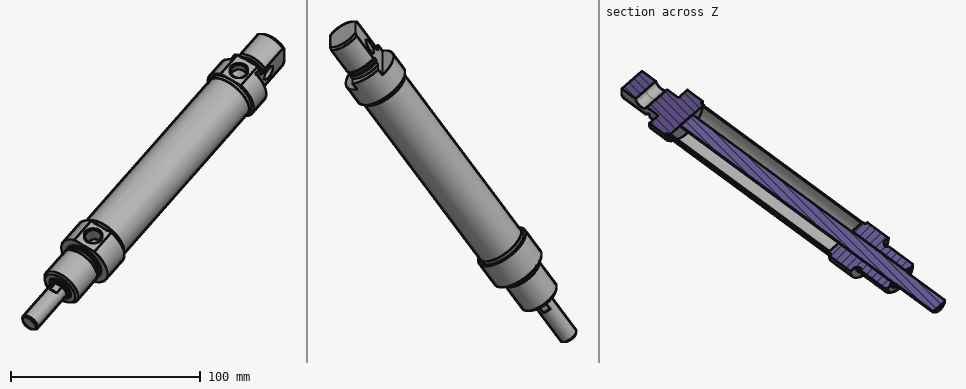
import cadquery as cq
import math


cap_diameter = 30.0
cap_length = 15.3
shoulder_distance = 148.0
collar_diameter = 27.0
collar_length = 2.0
port_flat_height = collar_diameter / 2

thread_diameter = 22.0
thread_length = 22.0
thread_root_diameter = 19.7
thread_chamfer = (thread_diameter - thread_root_diameter) / 2
front_land_length = 1.3
front_groove_end = 3.1
front_groove_taper = 0.6
rear_land_length = 1.9
rear_groove_end = 3.5
rear_groove_taper = thread_chamfer

port_diameter = 8.57
port_mouth_diameter = 9.9
port_shoulder_offset = 8.0
rear_port_depth = 5.0
drill_tip_angle = 118.0

eye_width = 16.0
eye_hole_diameter = 8.0
eye_hole_offset = 8.0
eye_flat_start = 144.0

tube_outer_diameter = 26.5
tube_bore = 25.0

rod_diameter = 10.0
rod_stickout = 50.0
rod_tip_diameter = 8.57
rod_tip_chamfer = (rod_diameter - rod_tip_diameter) / 2
wrench_width = 9.0
wrench_flat_end = 28.2

wiper_diameter = 14.0
wiper_hub_diameter = 11.1
wiper_lip_diameter = 10.5
wiper_recess_depth = 0.8
wiper_lip_protrusion = 1.2
wiper_lip_end = thread_length + wiper_lip_protrusion

tube_start = cap_length + collar_length
tube_end = shoulder_distance - tube_start


def cylinder(diameter, start, end):
    """Solid cylinder on the Y axis between two Y positions."""
    return cq.Workplane("XZ", origin=(0, start, 0)).circle(diameter / 2).extrude(start - end)


def revolve_about_y(points):
    """Solid of revolution from (radius, y) points; the profile closes itself."""
    return cq.Workplane("XY").polyline(points).close().revolve(360, (0, 0, 0), (0, 1, 0))


def threaded_cap(land_length, groove_end, groove_taper):
    """Front-facing cap: flange, tube collar and grooved thread, with the port flat on top."""
    thread_radius = thread_diameter / 2
    root_radius = thread_root_diameter / 2
    cap = revolve_about_y(
        [
            (0, tube_start),
            (collar_diameter / 2, tube_start),
            (collar_diameter / 2, cap_length),
            (cap_diameter / 2, cap_length),
            (cap_diameter / 2, 0),
            (thread_radius, 0),
            (thread_radius, -land_length),
            (root_radius, -land_length),
            (root_radius, -groove_end),
            (thread_radius, -groove_end - groove_taper),
            (thread_radius, -thread_length + thread_chamfer),
            (root_radius, -thread_length),
            (0, -thread_length),
        ]
    )
    above_flat = cq.Workplane("XY").box(
        cap_diameter, 2 * tube_start, cap_diameter, centered=(True, True, False)
    )
    return cap.cut(above_flat.translate((0, 0, port_flat_height)))


def port_cutter(y, floor_height, tip_height):
    """Drilled port from the flat down to floor_height, with a chamfered mouth and a conical tip."""
    port_radius = port_diameter / 2
    mouth_radius = port_mouth_diameter / 2
    profile = [
        (0, port_flat_height),
        (mouth_radius, port_flat_height),
        (port_radius, port_flat_height - (mouth_radius - port_radius)),
        (port_radius, floor_height),
        (0, floor_height - tip_height),
    ]
    cutter = cq.Workplane("XZ").polyline(profile).close().revolve(360, (0, 0, 0), (0, 1, 0))
    return cutter.translate((0, y, 0))


def make_front_cap():
    """Front cap with its port open to the rod bore and a recessed wiper ring at the nose."""
    cap = threaded_cap(front_land_length, front_groove_end, front_groove_taper)
    cap = cap.cut(port_cutter(port_shoulder_offset, 0, 0))
    recess_floor = -thread_length + wiper_recess_depth
    cap = cap.cut(cylinder(wiper_diameter, recess_floor, -thread_length))
    cap = cap.union(cylinder(wiper_hub_diameter, recess_floor, -thread_length))
    cap = cap.union(cylinder(wiper_lip_diameter, recess_floor, -wiper_lip_end))
    return cap.cut(cylinder(rod_diameter, tube_start, -rod_stickout))


def make_rear_cap():
    """Mirrored cap with a blind port, ground flat on both sides into an eye with a cross hole."""
    cap = threaded_cap(rear_land_length, rear_groove_end, rear_groove_taper)
    cap = cap.mirror("XZ").translate((0, shoulder_distance, 0))
    tip_height = port_diameter / 2 / math.tan(math.radians(drill_tip_angle / 2))
    port_y = shoulder_distance - port_shoulder_offset
    cap = cap.cut(port_cutter(port_y, port_flat_height - rear_port_depth, tip_height))
    rear_end = shoulder_distance + thread_length
    for side in (-1, 1):
        cheek = cq.Workplane("XY").box(
            cap_diameter, rear_end - eye_flat_start, 2 * cap_diameter, centered=(True, False, True)
        )
        cap = cap.cut(cheek.translate((side * (eye_width + cap_diameter) / 2, eye_flat_start, 0)))
    eye_hole = (
        cq.Workplane("YZ", origin=(0, shoulder_distance + eye_hole_offset, 0))
        .circle(eye_hole_diameter / 2)
        .extrude(eye_width, both=True)
    )
    return cap.cut(eye_hole)


def make_tube():
    """Cylinder barrel between the two collars."""
    return cylinder(tube_outer_diameter, tube_start, tube_end).cut(
        cylinder(tube_bore, tube_start, tube_end)
    )


def make_rod():
    """Rod running through the front cap and the barrel, with two wrench flats."""
    rod = cylinder(rod_diameter, -rod_stickout, tube_end).faces("<Y").chamfer(rod_tip_chamfer)
    for side in (-1, 1):
        flat = cq.Workplane("XY").box(
            rod_diameter, wrench_flat_end - wiper_lip_end, rod_diameter, centered=(True, False, True)
        )
        rod = rod.cut(flat.translate((0, -wrench_flat_end, side * (wrench_width + rod_diameter) / 2)))
    return rod


front_cap = make_front_cap()
rear_cap = make_rear_cap()
tube = make_tube()
rod = make_rod()

result = cq.Compound.makeCompound([front_cap.val(), rear_cap.val(), tube.val(), rod.val()])